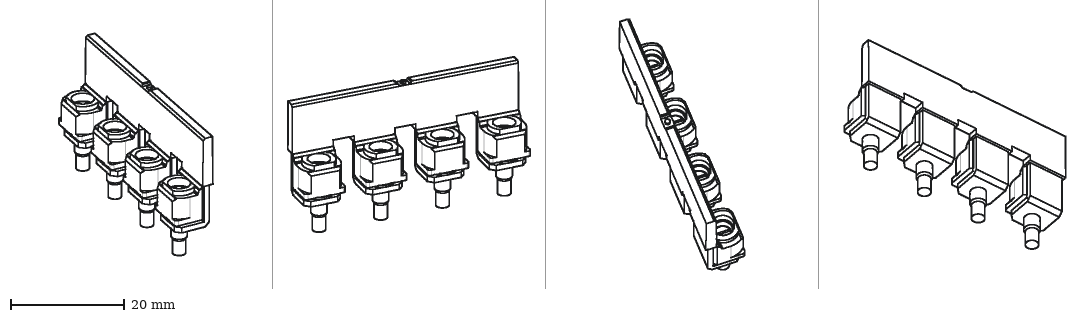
import cadquery as cq


bar_length = 43.8
pole_count = 4
pole_width = 7.93
pole_pitch = (bar_length - pole_width) / (pole_count - 1)
pole_centers = [(i - (pole_count - 1) / 2) * pole_pitch for i in range(pole_count)]

plate_top = 24.0
plate_bottom = 14.4
plate_front = -2.05
plate_draft = 0.1
plate_chamfer = 0.4
gap_top = 15.6

notch_top_half = 1.55
notch_shoulder_half = 1.25
notch_shoulder_depth = 0.1
notch_floor_half = 1.0
notch_depth = plate_chamfer
notch_pin_diameter = 0.9
notch_pin_y = -0.95

foot_width = 7.1
strip_thickness = 1.05
leg_rear = -0.53
leg_front = leg_rear - strip_thickness
foot_bottom = 5.95
foot_top = foot_bottom + strip_thickness
foot_front = -7.0
foot_corner_chamfer = 0.95
heel_chamfer = 0.85

screw_y = -4.7
shank_diameter = 2.95
tip_diameter = 2.4
tip_top = 2.95
shank_cone_top = 3.4
flange_diameter = 4.77
flange_upper_diameter = 4.6
flange_split = 7.4
head_diameter = 3.45
head_chamfer = 0.2
head_top = 10.95
slot_width = 0.85
slot_depth = 0.65

cap_bottom = 7.8
cap_front = -7.55
cap_top = 13.95
cap_shoulder = 13.0
cap_ledge_top = 8.85
ledge_corner_radius = 0.53
rear_bevel = 0.55
rear_rib_front = -2.15
shoulder_wall_top_y = -2.8
shoulder_wall_foot_y = -3.0
shoulder_root = 0.2
collar_diameter = 6.05
collar_front = -7.0
front_chamfer = collar_front - cap_front
front_chamfer_top = 12.85
bore_diameter = 4.07
head_pocket_diameter = head_diameter
bore_ledge = 12.35


def block(width, y_front, y_rear, z_low, z_high, center_x=0.0):
    """Box of the given X width between two Y and two Z limits."""
    return (
        cq.Workplane("XY", origin=(center_x, (y_front + y_rear) / 2, z_low))
        .box(width, y_rear - y_front, z_high - z_low, centered=(True, True, False))
    )


def extruded_profile(points, width):
    """Closed Y-Z profile extruded along X, centred on X = 0."""
    return cq.Workplane("YZ").polyline(points).close().extrude(width / 2, both=True)


def upright_cylinder(diameter, y, z_low, z_high):
    """Vertical cylinder centred on X = 0."""
    return cq.Workplane("XY", origin=(0, y, z_low)).circle(diameter / 2).extrude(z_high - z_low)


def make_plate():
    chamfer_low_y = plate_front + plate_draft
    plate = extruded_profile(
        [
            (0, plate_bottom),
            (-plate_draft, plate_top),
            (chamfer_low_y + plate_chamfer, plate_top),
            (chamfer_low_y, plate_top - plate_chamfer),
            (plate_front, plate_bottom),
        ],
        bar_length,
    )

    for left, right in zip(pole_centers, pole_centers[1:]):
        gap = block(pole_pitch - pole_width, plate_front, 0, plate_bottom, gap_top, (left + right) / 2)
        plate = plate.cut(gap)

    right_side = [
        (notch_floor_half, plate_top - notch_depth),
        (notch_shoulder_half, plate_top - notch_shoulder_depth),
        (notch_top_half, plate_top),
    ]
    left_side = [(-x, z) for x, z in reversed(right_side)]
    notch = cq.Workplane("XZ").polyline(right_side + left_side).close().extrude(-plate_front)
    marker_pin = upright_cylinder(notch_pin_diameter, notch_pin_y, plate_top - notch_depth, plate_top)
    return plate.cut(notch).union(marker_pin)


def make_foot():
    """L-shaped leg and foot on X = 0, with the clearance hole for the screw shank."""
    foot = extruded_profile(
        [
            (leg_rear, plate_bottom),
            (leg_front, plate_bottom),
            (leg_front, foot_top),
            (foot_front, foot_top),
            (foot_front, foot_bottom),
            (leg_rear - heel_chamfer, foot_bottom),
            (leg_rear, foot_bottom + heel_chamfer),
        ],
        foot_width,
    )
    foot = foot.edges("|Z and <Y").chamfer(foot_corner_chamfer)
    return foot.cut(upright_cylinder(shank_diameter, screw_y, foot_bottom, foot_top))


def make_bar():
    bar = make_plate()
    foot = make_foot()
    for x in pole_centers:
        bar = bar.union(foot.translate((x, 0, 0)))
    return bar


def make_cap():
    """Cap on X = 0: rounded shroud with a raised collar around the screwdriver bore."""
    half_width = pole_width / 2
    outline = [
        (-half_width + rear_bevel, leg_front),
        (half_width - rear_bevel, leg_front),
        (half_width, leg_front - rear_bevel),
        (half_width, cap_front),
        (-half_width, cap_front),
        (-half_width, leg_front - rear_bevel),
    ]
    cap = cq.Workplane("XY", origin=(0, 0, cap_bottom)).polyline(outline).close()
    cap = cap.extrude(plate_bottom - cap_bottom)
    cap = cap.edges("|Z and <Y").fillet(ledge_corner_radius)

    crest_drop = plate_bottom - cap_top
    stepped_stock = extruded_profile(
        [
            (leg_front, cap_bottom),
            (leg_front, plate_bottom),
            (rear_rib_front, plate_bottom),
            (rear_rib_front - crest_drop, cap_top),
            (shoulder_wall_top_y, cap_top),
            (shoulder_wall_foot_y, cap_shoulder + shoulder_root),
            (shoulder_wall_foot_y - shoulder_root, cap_shoulder),
            (collar_front, cap_shoulder),
            (collar_front, front_chamfer_top),
            (cap_front, front_chamfer_top - front_chamfer),
            (cap_front, cap_bottom),
        ],
        pole_width,
    )
    cap = cap.intersect(stepped_stock)

    corner_stock = block(pole_width, cap_front, screw_y, cap_ledge_top, cap_top)
    rounded_stock = upright_cylinder(pole_width, screw_y, cap_ledge_top, cap_top)
    cap = cap.cut(corner_stock.cut(rounded_stock))

    collar = upright_cylinder(collar_diameter, screw_y, cap_shoulder, cap_top)
    collar = collar.intersect(block(pole_width, collar_front, shoulder_wall_top_y, cap_shoulder, cap_top))
    cap = cap.union(collar)

    bore = upright_cylinder(bore_diameter, screw_y, bore_ledge, cap_top)
    head_pocket = upright_cylinder(head_pocket_diameter, screw_y, cap_bottom, bore_ledge)
    return cap.cut(bore).cut(head_pocket)


def make_screw():
    """Captive screw on X = 0: tip, shank, washer-like flange and slotted head."""
    head_radius = head_diameter / 2
    half_section = [
        (0, 0),
        (tip_diameter / 2, 0),
        (tip_diameter / 2, tip_top),
        (shank_diameter / 2, shank_cone_top),
        (shank_diameter / 2, foot_top),
        (flange_diameter / 2, foot_top),
        (flange_diameter / 2, flange_split),
        (flange_upper_diameter / 2, flange_split),
        (flange_upper_diameter / 2, cap_bottom),
        (head_radius, cap_bottom),
        (head_radius, head_top - head_chamfer),
        (head_radius - head_chamfer, head_top),
        (0, head_top),
    ]
    screw = cq.Workplane("XZ").polyline(half_section).close().revolve(360, (0, 0, 0), (0, 1, 0))
    screw = screw.translate((0, screw_y, 0))
    slot = block(slot_width, screw_y - head_radius, screw_y + head_radius, head_top - slot_depth, head_top)
    return screw.cut(slot)


def at_each_pole(body):
    """One separate copy of the body for every pole of the bar."""
    return [body.translate((x, 0, 0)).solids().val() for x in pole_centers]


bar = make_bar()
caps = at_each_pole(make_cap())
screws = at_each_pole(make_screw())

result = cq.Compound.makeCompound([bar.solids().val(), *caps, *screws])